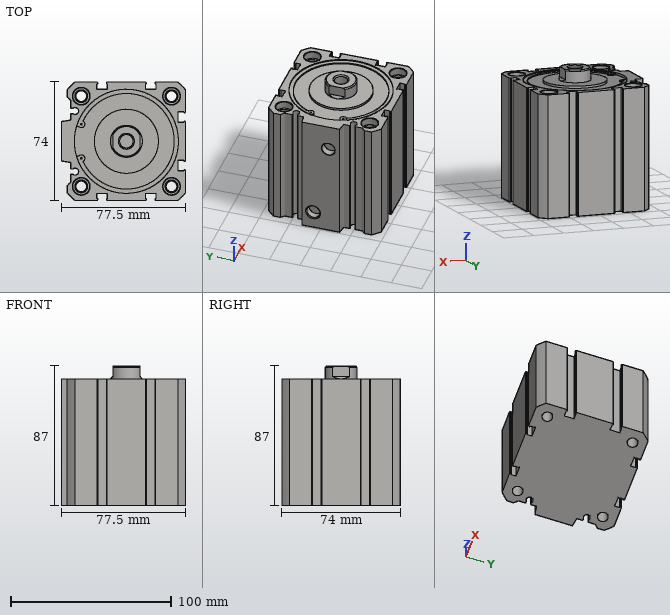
import cadquery as cq
import math

body_width = 74.0
body_height = 79.0
corner_round_dia = 98.0

rail_face_x = -40.5
rail_face_width = 24.8
rail_root_width = 26.4
rail_root_fillet = 0.5

step_depth = 2.25
step_edge_y = 25.45
step_fillet = 0.6

keyhole_y = 18.9
keyhole_depth = 2.8
keyhole_dia = 4.2
keyhole_neck_width = 3.2
keyhole_neck_chamfer = 0.35

slot_offset = 15.15
slot_face_width = 6.3
slot_mouth_width = 5.2
slot_inner_width = 6.4
slot_lip_height = 1.4
slot_lip_crest = 0.3
end_slot_depth = 4.8
side_slot_depth = 4.4

mount_offset = 28.15
mount_hole_dia = 6.65
mount_hole_mouth_dia = 8.0
counterbore_dia = 10.5
counterbore_mouth_dia = 11.1
counterbore_depth = 5.0

bore_dia = 65.0
cover_depth = 1.4
boss_dia = 40.0

ring_top_depth = 0.65
ring_inner_dia = 59.7
ring_opening_half_angle = 17.0
eyelet_x = -28.05
eyelet_y = 10.65
eyelet_dia = 4.3
eyelet_hole_dia = 1.0

port_dia = 8.57
port_depth = 5.0
upper_port = (-5.0, 62.0, 9.0)
lower_port = (5.0, 11.5, 9.8)

rod_dia = 20.0
rod_top_z = 87.0
rod_seat_depth = 20.0
rod_tip_chamfer = 0.75
flat_width = 17.0
flat_bottom_z = 80.5
thread_hole_dia = 8.38
thread_mouth_dia = 10.0
thread_depth = 15.0

half_width = body_width / 2
step_x = -half_width + step_depth
cover_z = body_height - cover_depth
ring_top_z = body_height - ring_top_depth
rod_bottom_z = body_height - rod_seat_depth


def cylinder(dia, bottom_z, top_z, x=0.0, y=0.0):
    """Upright cylinder between two heights."""
    return cq.Workplane("XY", origin=(x, y, bottom_z)).circle(dia / 2).extrude(top_z - bottom_z)


def countersink(plane, tip_dia, mouth_dia):
    """45 degree cone that widens towards its mouth, which lies at the plane's origin facing its normal."""
    depth = (mouth_dia - tip_dia) / 2
    return cq.Workplane(plane).circle(mouth_dia / 2).workplane(offset=-depth).circle(tip_dia / 2).loft()


def square_section():
    square = cq.Workplane("XY").rect(body_width, body_width).extrude(body_height)
    return square.intersect(cylinder(corner_round_dia, 0, body_height))


def side_step(side):
    """Material removed from the -X face beside the rail on one side (+1 or -1)."""
    edge = side * step_edge_y
    slope_top = edge + side * step_depth
    step = (
        cq.Workplane("XY")
        .polyline([(-half_width, 0), (step_x, 0), (step_x, edge), (-half_width, slope_top)])
        .close()
        .extrude(body_height)
    )
    slope_corner = cq.selectors.NearestToPointSelector((step_x, edge, body_height / 2))
    return step.edges(slope_corner).fillet(step_fillet)


def port_rail():
    root = rail_root_width / 2
    face = rail_face_width / 2
    fillet_x = step_x - rail_root_fillet
    fillet_y = root + rail_root_fillet
    fillet_lift = rail_root_fillet * (1 - math.sin(math.radians(45)))
    arc_mid = (step_x - fillet_lift, root + fillet_lift)
    return (
        cq.Workplane("XY")
        .moveTo(rail_face_x, -face)
        .lineTo(fillet_x, -root)
        .threePointArc((arc_mid[0], -arc_mid[1]), (step_x, -fillet_y))
        .lineTo(step_x, fillet_y)
        .threePointArc(arc_mid, (fillet_x, root))
        .lineTo(rail_face_x, face)
        .close()
        .extrude(body_height)
    )


def keyhole_groove(y):
    axis_x = step_x + keyhole_depth
    half_neck = keyhole_neck_width / 2
    mouth = half_neck + keyhole_neck_chamfer
    chamfer_x = step_x + keyhole_neck_chamfer
    half_outline = [(step_x, mouth), (chamfer_x, half_neck), (axis_x, half_neck)]
    mirrored_half = [(x, -half) for x, half in reversed(half_outline)]
    neck = (
        cq.Workplane("XY", origin=(0, y, 0))
        .polyline(half_outline + mirrored_half)
        .close()
        .extrude(body_height)
    )
    return neck.union(cylinder(keyhole_dia, 0, body_height, axis_x, y))


def lipped_slot(depth, offset, face_angle):
    """Slot with bevelled lips, cut into the +X face and then turned about Z to another face."""
    face = slot_face_width / 2
    mouth = slot_mouth_width / 2
    inner = slot_inner_width / 2
    crest_x = half_width - (face - mouth)
    half_outline = [
        (half_width, face),
        (crest_x, mouth),
        (crest_x - slot_lip_crest, mouth),
        (half_width - slot_lip_height, inner),
        (half_width - depth, inner),
    ]
    mirrored_half = [(x, -y) for x, y in reversed(half_outline)]
    slot = cq.Workplane("XY").polyline(half_outline + mirrored_half).close().extrude(body_height)
    return slot.translate((0, offset, 0)).rotate((0, 0, 0), (0, 0, 1), face_angle)


def mounting_hole(x, y):
    floor_z = body_height - counterbore_depth
    hole = cylinder(mount_hole_dia, 0, floor_z, x, y)
    counterbore = cylinder(counterbore_dia, floor_z, body_height, x, y)
    hole_mouth = countersink(cq.Plane((x, y, floor_z)), mount_hole_dia, mount_hole_mouth_dia)
    top_mouth = countersink(cq.Plane((x, y, body_height)), counterbore_dia, counterbore_mouth_dia)
    return hole.union(counterbore).union(hole_mouth).union(top_mouth)


def port(y, z, mouth_dia):
    plane = cq.Plane((rail_face_x, y, z), xDir=(0, 1, 0), normal=(-1, 0, 0))
    drilling = cq.Workplane(plane).circle(port_dia / 2).extrude(-port_depth)
    return drilling.union(countersink(plane, port_dia, mouth_dia))


def cover_recess():
    recess = cylinder(bore_dia, cover_z, body_height)
    return recess.cut(cylinder(boss_dia, cover_z, body_height))


def retaining_ring():
    ring = cylinder(bore_dia, cover_z, ring_top_z).cut(cylinder(ring_inner_dia, cover_z, ring_top_z))
    opening_y = half_width * math.tan(math.radians(ring_opening_half_angle))
    opening = (
        cq.Workplane("XY", origin=(0, 0, cover_z))
        .polyline([(0, 0), (-half_width, opening_y), (-half_width, -opening_y)])
        .close()
        .extrude(cover_depth)
    )
    ring = ring.cut(opening)
    for side in (1, -1):
        ring = ring.union(cylinder(eyelet_dia, cover_z, ring_top_z, eyelet_x, side * eyelet_y))
    for side in (1, -1):
        ring = ring.cut(cylinder(eyelet_hole_dia, cover_z, ring_top_z, eyelet_x, side * eyelet_y))
    return ring


def make_body():
    body = square_section()
    for side in (1, -1):
        body = body.cut(side_step(side))
    body = body.union(port_rail())
    for side in (1, -1):
        body = body.cut(keyhole_groove(side * keyhole_y))
        body = body.cut(lipped_slot(end_slot_depth, side * slot_offset, 0))
        body = body.cut(lipped_slot(side_slot_depth, side * slot_offset, 90))
        body = body.cut(lipped_slot(side_slot_depth, side * slot_offset, -90))
        for end in (1, -1):
            body = body.cut(mounting_hole(end * mount_offset, side * mount_offset))
    for port_place in (upper_port, lower_port):
        body = body.cut(port(*port_place))
    body = body.cut(cover_recess()).union(retaining_ring())
    return body.cut(cylinder(rod_dia, rod_bottom_z, body_height))


def wrench_flat(side):
    """Material removed for one flat; its lower end runs out at 45 degrees to the rod surface."""
    flat_x = side * flat_width / 2
    outer_x = side * rod_dia / 2
    runout_z = flat_bottom_z - (rod_dia - flat_width) / 2
    return (
        cq.Workplane("XZ")
        .polyline([(flat_x, rod_top_z), (flat_x, flat_bottom_z), (outer_x, runout_z), (outer_x, rod_top_z)])
        .close()
        .extrude(rod_dia / 2, both=True)
    )


def make_rod():
    rod = cylinder(rod_dia, rod_bottom_z, rod_top_z).faces(">Z").chamfer(rod_tip_chamfer)
    for side in (1, -1):
        rod = rod.cut(wrench_flat(side))
    rod = rod.cut(cylinder(thread_hole_dia, rod_top_z - thread_depth, rod_top_z))
    return rod.cut(countersink(cq.Plane((0, 0, rod_top_z)), thread_hole_dia, thread_mouth_dia))


body = make_body()
rod = make_rod()

result = cq.Compound.makeCompound([body.solids().val(), rod.solids().val()])